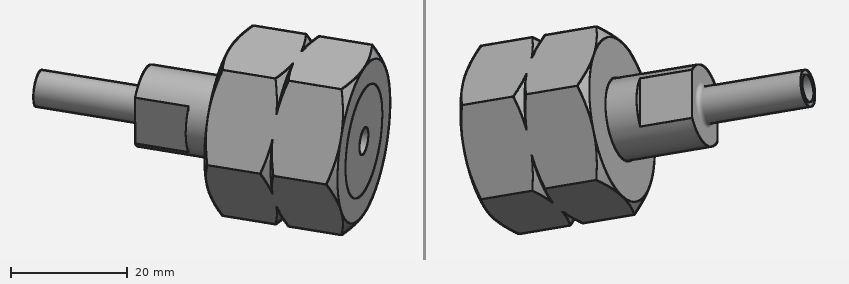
import cadquery as cq
import math

total_length = 58.55

tube_radius = 3.2
bore_radius = 2.4
sleeve_start = 19.15
sleeve_radius = 7.15
neck_fillet = 0.75
collar_radius = 9.95
wrench_flat_width = 11.1
wrench_flat_end = 28.8

nut_start = 34.55
across_flats = 28.6
nut_clearance = 0.1
end_face_radius = across_flats / 2
groove_bottom_radius = 14.45
bevel_angle = 30.0
nut_wall = 7.0

nut_length = total_length - nut_start
collar_start = nut_start + nut_wall
nut_middle = nut_start + nut_length / 2
corner_radius = across_flats / math.sqrt(3)
bevel_slope = math.tan(math.radians(bevel_angle))
end_bevel_length = (corner_radius - end_face_radius) * bevel_slope
groove_half_width = (corner_radius - groove_bottom_radius) * bevel_slope


def x_cylinder(radius, start, end):
    """Solid cylinder along the X axis."""
    return cq.Workplane("YZ").workplane(offset=start).circle(radius).extrude(end - start)


def revolve_about_x(points):
    """Solid of revolution about the X axis from (x, radius) points."""
    return cq.Workplane("XY").polyline(points).close().revolve(360, (0, 0, 0), (1, 0, 0))


def wrench_flat_cutter(side):
    """Block that removes the sleeve outside one wrench flat."""
    flat_length = wrench_flat_end - sleeve_start
    flat_depth = sleeve_radius - wrench_flat_width / 2
    center_x = sleeve_start + flat_length / 2
    center_y = side * (wrench_flat_width / 2 + flat_depth / 2)
    return (
        cq.Workplane("XY")
        .box(flat_length, flat_depth, 2 * sleeve_radius)
        .translate((center_x, center_y, 0))
    )


def make_stem():
    """Bored tube, sleeve and collar with a filleted neck and two wrench flats."""
    fillet_start = sleeve_start - neck_fillet
    fillet_top = tube_radius + neck_fillet
    diagonal_step = neck_fillet / math.sqrt(2)
    fillet_mid_x = fillet_start + diagonal_step
    fillet_mid_radius = fillet_top - diagonal_step
    stem = (
        cq.Workplane("XY")
        .moveTo(0, bore_radius)
        .lineTo(0, tube_radius)
        .lineTo(fillet_start, tube_radius)
        .threePointArc((fillet_mid_x, fillet_mid_radius), (sleeve_start, fillet_top))
        .lineTo(sleeve_start, sleeve_radius)
        .lineTo(collar_start, sleeve_radius)
        .lineTo(collar_start, collar_radius)
        .lineTo(total_length, collar_radius)
        .lineTo(total_length, bore_radius)
        .close()
        .revolve(360, (0, 0, 0), (1, 0, 0))
    )
    for side in (-1, 1):
        stem = stem.cut(wrench_flat_cutter(side))
    return stem


def make_nut():
    """Hexagonal nut with corners on the Y axis and flats facing up and down."""
    hexagon = (
        cq.Workplane("YZ")
        .workplane(offset=nut_start)
        .polygon(6, 2 * corner_radius)
        .extrude(nut_length)
    )
    envelope = revolve_about_x([
        (nut_start, 0),
        (nut_start, end_face_radius),
        (nut_start + end_bevel_length, corner_radius),
        (nut_middle - groove_half_width, corner_radius),
        (nut_middle, groove_bottom_radius),
        (nut_middle + groove_half_width, corner_radius),
        (total_length - end_bevel_length, corner_radius),
        (total_length, end_face_radius),
        (total_length, 0),
    ])
    sleeve_bore = x_cylinder(sleeve_radius + nut_clearance, nut_start, collar_start)
    collar_recess = x_cylinder(collar_radius, collar_start, total_length)
    return hexagon.intersect(envelope).cut(sleeve_bore).cut(collar_recess)


stem = make_stem()
nut = make_nut()

result = cq.Compound.makeCompound([stem.val(), nut.val()])